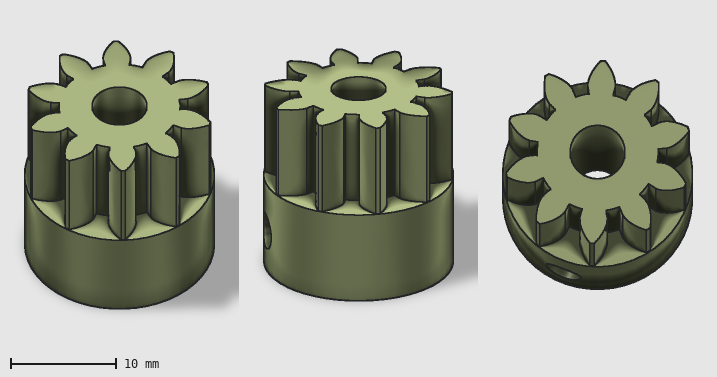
import cadquery as cq
import math

hub_diameter = 18.0
hub_height = 9.0

tooth_count = 10
gear_height = 9.0
gear_outer_diameter = 17.82
pressure_angle = math.radians(28)
root_clearance = 0.2
flank_intervals = 6

module = gear_outer_diameter / (tooth_count + 2)
outer_radius = gear_outer_diameter / 2
pitch_radius = module * tooth_count / 2
base_radius = pitch_radius * math.cos(pressure_angle)
root_radius = pitch_radius - module - root_clearance

bore_diameter = 5.2
screw_hole_diameter = 3.5
screw_hole_height = 4.0

total_height = hub_height + gear_height


def involute(local_angle):
    """Involute function: polar angle swept by the flank at a given local pressure angle."""
    return math.tan(local_angle) - local_angle


base_half_angle = math.pi / (2 * tooth_count) + involute(pressure_angle)


def polar_point(radius, angle):
    return (radius * math.cos(angle), radius * math.sin(angle))


def flank_half_angle(radius):
    """Half of the angle a tooth covers at a radius on or outside the base circle."""
    return base_half_angle - involute(math.acos(base_radius / radius))


def flank_points(side):
    """Points along one involute flank, from the base circle out to the tip."""
    points = []
    for i in range(flank_intervals + 1):
        radius = base_radius + (outer_radius - base_radius) * i / flank_intervals
        points.append(polar_point(radius, side * flank_half_angle(radius)))
    return points


def make_tooth():
    """One tooth along +X: radial flanks up to the base circle, then involutes to the tip."""
    lower_flank = flank_points(-1)
    upper_flank = flank_points(1)[::-1]
    return (
        cq.Workplane("XY")
        .workplane(offset=hub_height)
        .moveTo(0, 0)
        .lineTo(*lower_flank[0])
        .spline(lower_flank[1:], includeCurrent=True)
        .threePointArc((outer_radius, 0), upper_flank[0])
        .spline(upper_flank[1:], includeCurrent=True)
        .close()
        .extrude(gear_height)
    )


def make_gear():
    gear = cq.Workplane("XY").workplane(offset=hub_height).circle(root_radius).extrude(gear_height)
    tooth = make_tooth()
    for i in range(tooth_count):
        gear = gear.union(tooth.rotate((0, 0, 0), (0, 0, 1), i * 360 / tooth_count))
    return gear


def make_hub():
    return cq.Workplane("XY").circle(hub_diameter / 2).extrude(hub_height)


def make_bore():
    return cq.Workplane("XY").circle(bore_diameter / 2).extrude(total_height)


def make_screw_hole():
    """Radial hole from the shaft axis out through the +Y side of the hub."""
    return (
        cq.Workplane("XZ")
        .center(0, screw_hole_height)
        .circle(screw_hole_diameter / 2)
        .extrude(-hub_diameter / 2)
    )


result = make_hub().union(make_gear()).cut(make_bore()).cut(make_screw_hole())